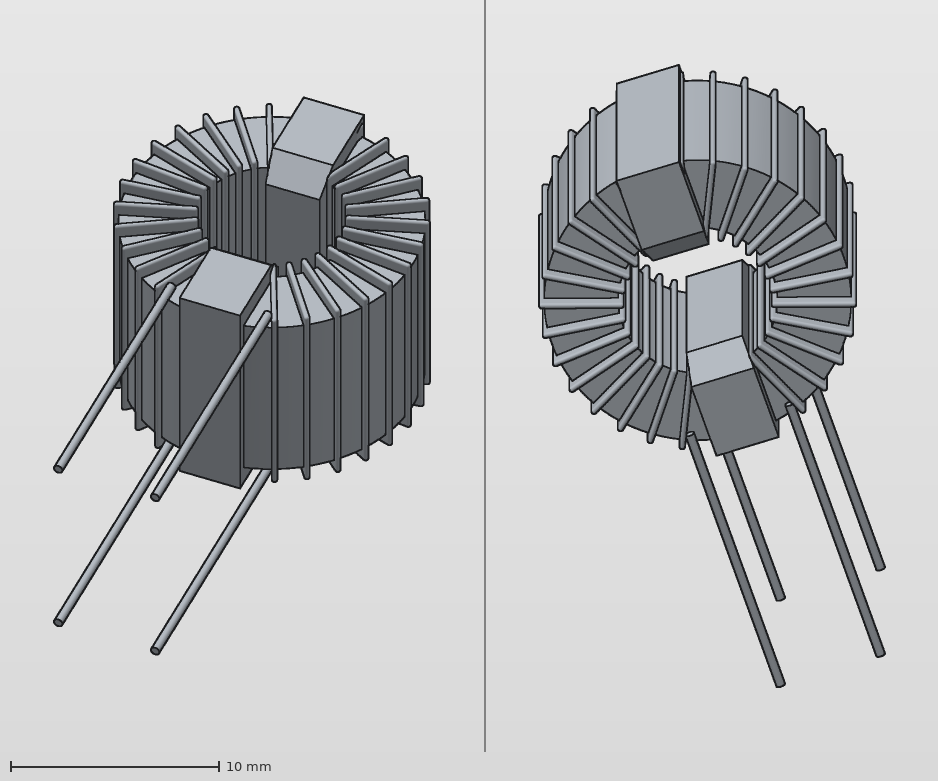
import cadquery as cq

core_outer_radius = 7.38
core_inner_radius = 3.83
core_height = 9.35

turn_thickness = 0.28
turn_outer_radius = 7.63
turn_inner_radius = 3.55
turn_height = 10.75
turn_pitch = 12.0
turns_front_of_centre = 6
turns_behind_centre = 7

block_width = 3.15
block_height = 11.43
block_nose_width = 2.82
block_outer_reach = 7.63
block_inner_reach = 2.55
block_chamfer = 1.25
block_shoulder_reach = block_inner_reach + block_chamfer

overall_length = 27.95
lead_diameter = 0.45
lead_spacing_x = 5.05
lead_spacing_z = 10.15
lead_start_y = -6.4
lead_end_y = block_outer_reach - overall_length


def make_core():
    return (
        cq.Workplane("XY", origin=(0, 0, -core_height / 2))
        .circle(core_outer_radius)
        .circle(core_inner_radius)
        .extrude(core_height)
    )


def make_turn():
    """One turn on the +X side: a thin radial plate framed by round wire with ball-shaped corners."""
    wire_radius = turn_thickness / 2
    length = turn_outer_radius - turn_inner_radius - turn_thickness
    height = turn_height - turn_thickness
    turn = cq.Workplane("XY").box(length, turn_thickness, height)
    wires_along_x = (
        cq.Workplane("YZ", origin=(-length / 2, 0, 0))
        .rarray(0.28, height, 1, 2)
        .circle(wire_radius)
        .extrude(length)
    )
    wires_along_z = (
        cq.Workplane("XY", origin=(0, 0, -height / 2))
        .rarray(length, 0.28, 2, 1)
        .circle(wire_radius)
        .extrude(height)
    )
    corners = cq.Workplane("XZ").rect(length, height, forConstruction=True).vertices().sphere(wire_radius)
    turn = turn.union(wires_along_x).union(wires_along_z).union(corners)
    return turn.translate(((turn_outer_radius + turn_inner_radius) / 2, 0, 0))


def make_turns():
    """All turns at an even pitch, those on the left mirroring those on the right."""
    turn = make_turn()
    turns = []
    for index in range(-turns_front_of_centre, turns_behind_centre):
        angle = (index + 0.5) * turn_pitch
        for placed_angle in (angle, 180 - angle):
            turns.append(turn.val().rotate(cq.Vector(0, 0, 0), cq.Vector(0, 0, 1), placed_angle))
    return turns


def make_block_blank():
    """Back block before chamfering; its plan narrows from the shoulder to the nose in the bore."""
    half_plan = [
        (0, block_outer_reach),
        (block_width / 2, block_outer_reach),
        (block_width / 2, block_shoulder_reach),
        (block_nose_width / 2, block_inner_reach),
        (0, block_inner_reach),
    ]
    return (
        cq.Workplane("XY", origin=(0, 0, -block_height / 2))
        .polyline(half_plan)
        .mirrorY()
        .extrude(block_height)
    )


def make_block():
    """Back block with 45 degree chamfers above and below its nose."""
    half_profile = [
        (block_outer_reach, 0),
        (block_outer_reach, block_height / 2),
        (block_shoulder_reach, block_height / 2),
        (block_inner_reach, block_height / 2 - block_chamfer),
        (block_inner_reach, 0),
    ]
    profile = (
        cq.Workplane("YZ", origin=(-block_width / 2, 0, 0))
        .polyline(half_profile)
        .mirrorX()
        .extrude(block_width)
    )
    return make_block_blank().intersect(profile)


def make_leads():
    return (
        cq.Workplane("XZ", origin=(0, lead_start_y, 0))
        .rarray(lead_spacing_x, lead_spacing_z, 2, 2)
        .circle(lead_diameter / 2)
        .extrude(lead_start_y - lead_end_y)
    )


wound_core = cq.Workplane(make_core().val().fuse(*make_turns()))
back_blank = make_block_blank()
back_block = make_block()

result = (
    wound_core
    .cut(back_blank)
    .cut(back_blank.mirror("XZ"))
    .union(back_block)
    .union(back_block.mirror("XZ"))
    .union(make_leads())
)